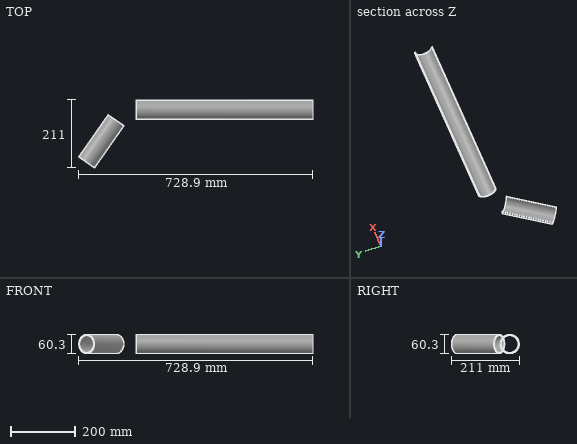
import cadquery as cq
import math


outer_diameter = 60.3
wall = 3.91

long_length = 550.0
short_length = 160.0

bend_radius = 76.2
bend_angle = math.radians(55.0)


def pipe(start, direction, length):
    """Straight pipe from the centre of its start face, running along direction."""
    start_plane = cq.Plane(origin=start, normal=direction)
    outer_radius = outer_diameter / 2
    return (
        cq.Workplane(start_plane)
        .circle(outer_radius)
        .circle(outer_radius - wall)
        .extrude(length)
    )


long_pipe = pipe((0, 0, 0), (1, 0, 0), long_length)

bend_end = (
    -bend_radius * math.sin(bend_angle),
    -bend_radius * (1 - math.cos(bend_angle)),
    0,
)
short_direction = (-math.cos(bend_angle), -math.sin(bend_angle), 0)
short_pipe = pipe(bend_end, short_direction, short_length)

result = cq.Compound.makeCompound([long_pipe.val(), short_pipe.val()])